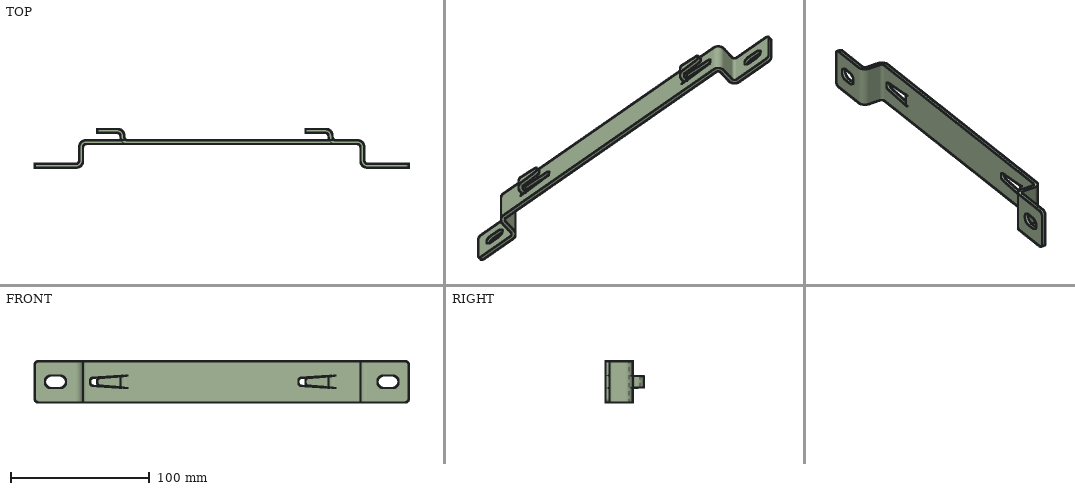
import cadquery as cq
import math

length = 270.0
width = 30.0
total_depth = 28.0
thickness = 3.0
inner_radius = 2.2
outer_radius = inner_radius + thickness
corner_radius = 3.0

raised_top = 20.0
raised_bottom = raised_top - thickness
web_outer_x = 32.0
web_inner_x = web_outer_x + thickness

slot_length = 15.0
slot_height = 9.0
slot_center_x = 15.0

window_start_x = 40.2
tab_root_x = 67.0
tab_spacing = 150.0
tab_tip_x = 45.0
tab_root_width = 9.0
tab_tip_width = 5.5
tip_radius = 2.2
stem_right_x = tab_root_x - inner_radius
stem_left_x = stem_right_x - thickness


def toward(start, end, distance):
    """Point at a given distance from start on the line to end."""
    ratio = distance / math.dist(start, end)
    return tuple(a + ratio * (b - a) for a, b in zip(start, end))


def rounded_outline(corners):
    """Closed XY outline of (x, y, radius) right-angled corners; the first one is sharp."""
    outline = cq.Workplane("XY").moveTo(*corners[0][:2])
    for index in range(1, len(corners)):
        *point, radius = corners[index]
        before = corners[index - 1][:2]
        after = corners[(index + 1) % len(corners)][:2]
        if radius == 0:
            outline = outline.lineTo(*point)
        else:
            outline = outline.lineTo(*toward(point, before, radius))
            outline = outline.tangentArcPoint(toward(point, after, radius), relative=False)
    return outline.close()


def bent_bar():
    left_lower = [
        (0, 0, 0),
        (web_inner_x, 0, outer_radius),
        (web_inner_x, raised_bottom, inner_radius),
    ]
    left_upper = [
        (web_outer_x, raised_top, outer_radius),
        (web_outer_x, thickness, inner_radius),
        (0, thickness, 0),
    ]
    right_lower = [(length - x, y, r) for x, y, r in reversed(left_lower)]
    right_upper = [(length - x, y, r) for x, y, r in reversed(left_upper)]
    outline = rounded_outline(left_lower + right_lower + right_upper + left_upper)
    bar = outline.extrude(width / 2, both=True)
    return bar.edges("|Y and (<X or >X)").fillet(corner_radius)


def through_prism(sketch):
    """Extrude an XZ sketch through the full depth of the part."""
    return sketch.extrude(-total_depth)


def mounting_slots():
    centers = [(slot_center_x, 0), (length - slot_center_x, 0)]
    return through_prism(cq.Workplane("XZ").pushPoints(centers).slot2D(slot_length, slot_height))


def tapered_prism(tip_x):
    """Prism narrowing from the tab root to a tip with rounded corners."""
    sketch = cq.Workplane("XZ").polyline([
        (tip_x, -tab_tip_width / 2),
        (tab_root_x, -tab_root_width / 2),
        (tab_root_x, tab_root_width / 2),
        (tip_x, tab_tip_width / 2),
    ]).close()
    return through_prism(sketch).edges("|Y and <X").fillet(tip_radius)


def hook_tab():
    blank_end_x = tab_root_x + thickness
    outline = rounded_outline([
        (blank_end_x, raised_bottom, 0),
        (blank_end_x, raised_top, 0),
        (stem_right_x, raised_top, inner_radius),
        (stem_right_x, total_depth, outer_radius),
        (tab_tip_x, total_depth, 0),
        (tab_tip_x, total_depth - thickness, 0),
        (stem_left_x, total_depth - thickness, inner_radius),
        (stem_left_x, raised_bottom, outer_radius),
    ])
    return outline.extrude(tab_root_width / 2, both=True).intersect(tapered_prism(tab_tip_x))


result = bent_bar().cut(mounting_slots())
for offset in (0, tab_spacing):
    result = result.cut(tapered_prism(window_start_x).translate((offset, 0, 0)))
    result = result.union(hook_tab().translate((offset, 0, 0)))